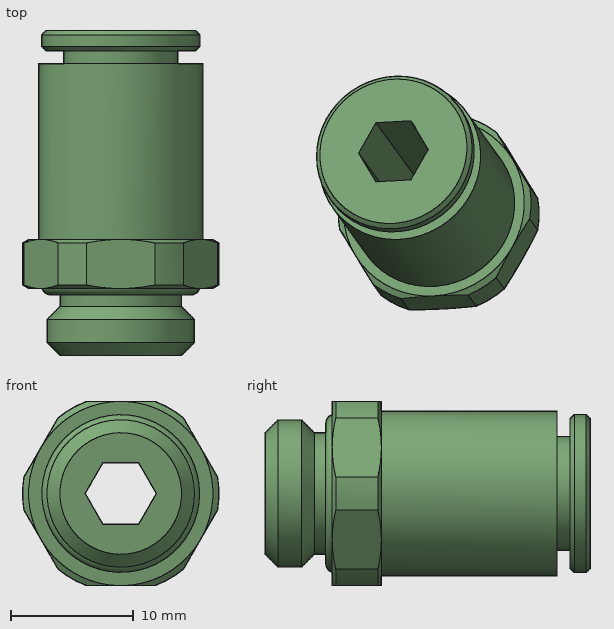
import cadquery as cq
import math


total_length = 26.45

thread_radius = 6.0
thread_chamfer = 1.05
thread_length = 4.0
undercut_radius = thread_radius - thread_chamfer

nut_start = 5.45
nut_length = 4.0
nut_end = nut_start + nut_length
nut_across_flats = 15.0
nut_corner_radius = 8.0
nut_chamfer_angle = 30.0

ring_section_radius = 0.75
ring_protrusion = 0.53
ring_center_radius = undercut_radius + ring_section_radius
ring_center_y = nut_start - ring_protrusion + ring_section_radius

sleeve_radius = 6.7
collar_radius = 6.45
collar_thickness = 1.65
collar_chamfer = 0.35
collar_gap = 1.05
collar_neck_radius = 4.65
collar_start = total_length - collar_thickness
sleeve_end = collar_start - collar_gap

socket_across_flats = 5.0


def across_corners(across_flats):
    return across_flats / math.cos(math.radians(30))


def revolve_profile(points):
    """Turn a closed (radius, y) outline about the Y axis."""
    return cq.Workplane("XY").polyline(points).close().revolve(360, (0, 0), (0, 1))


def hex_prism(across_flats, start, length):
    """Hexagonal prism along +Y with flats facing up and down."""
    plane = cq.Workplane(cq.Plane(origin=(0, start, 0), xDir=(1, 0, 0), normal=(0, 1, 0)))
    return plane.polygon(6, across_corners(across_flats)).extrude(length)


def make_turned_body():
    return revolve_profile([
        (0, 0),
        (undercut_radius, 0),
        (thread_radius, thread_chamfer),
        (thread_radius, thread_length - thread_chamfer),
        (undercut_radius, thread_length),
        (undercut_radius, nut_end),
        (sleeve_radius, nut_end),
        (sleeve_radius, sleeve_end),
        (collar_neck_radius, sleeve_end),
        (collar_neck_radius, collar_start),
        (collar_radius - collar_chamfer, collar_start),
        (collar_radius, collar_start + collar_chamfer),
        (collar_radius, total_length - collar_chamfer),
        (collar_radius - collar_chamfer, total_length),
        (0, total_length),
    ])


def make_nut():
    """Hexagon with its corners turned round and both ends chamfered."""
    face_radius = nut_across_flats / 2
    chamfer_length = (nut_corner_radius - face_radius) * math.tan(math.radians(nut_chamfer_angle))
    envelope = revolve_profile([
        (0, nut_start),
        (face_radius, nut_start),
        (nut_corner_radius, nut_start + chamfer_length),
        (nut_corner_radius, nut_end - chamfer_length),
        (face_radius, nut_end),
        (0, nut_end),
    ])
    return hex_prism(nut_across_flats, nut_start, nut_length).intersect(envelope)


def make_sealing_ring():
    section = cq.Workplane("XY").center(ring_center_radius, ring_center_y).circle(ring_section_radius)
    return section.revolve(360, (-ring_center_radius, 0), (-ring_center_radius, 1))


def make_socket():
    return hex_prism(socket_across_flats, 0, total_length)


result = make_turned_body().union(make_nut()).union(make_sealing_ring()).cut(make_socket())